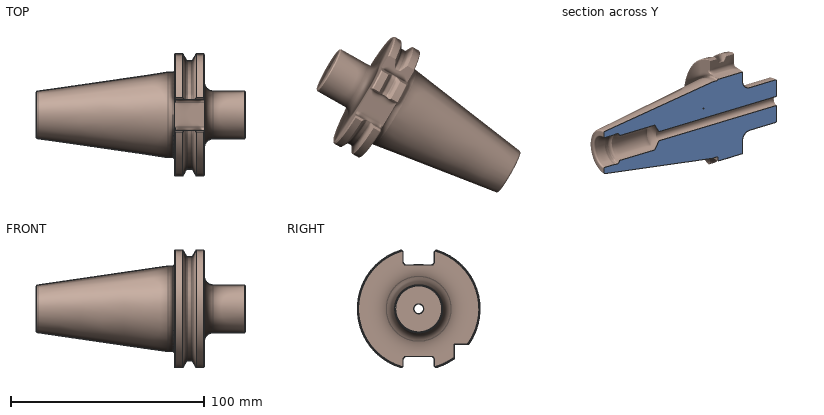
import cadquery as cq
import math

TOTAL_LENGTH = 108.2
TAPER_LENGTH = 68.2
FLANGE_START = 71.5
FLANGE_WIDTH = 15.6
FLANGE_END = FLANGE_START + FLANGE_WIDTH

GAUGE_RADIUS = 22.2
TAPER_RADIUS_RATE = 7 / 24 / 2
SMALL_END_RADIUS = GAUGE_RADIUS - TAPER_RADIUS_RATE * TAPER_LENGTH
SMALL_END_ROUND = 1.0
COLLAR_FILLET = 0.8

FLANGE_DIAMETER = 63.5
FLANGE_RADIUS = FLANGE_DIAMETER / 2
FLANGE_FRONT_CHAMFER = 0.4
FLANGE_BACK_CHAMFER = 0.6
GROOVE_CENTER = 79.3
GROOVE_FLOOR_RADIUS = 28.1
GROOVE_MOUTH_WIDTH = 7.1
GROOVE_FLANK_ANGLE = 30.0
GROOVE_ROUND = 0.8

NOSE_RADIUS = 12.5
NOSE_FILLET = 4.3
NOSE_CHAMFER = 0.5

SLOT_WIDTH = 16.0
SLOT_TOP_FLOOR = 22.7
SLOT_BOTTOM_FLOOR = 24.7
SLOT_ROUND = 1.6
SLOT_EDGE_CHAMFER = 1.0
SLOT_FACE_BEVEL_DEPTH = 0.6

NOTCH_OFFSET = 18.4

BORE_RADIUS = 8.4
BORE_DEPTH = 9.2
BORE_ENTRY_ROUND = 0.9

RELIEF_START = 6.6
RELIEF_DEPTH = 0.2
RELIEF_FRONT_LENGTH = 1.0
RELIEF_BACK_LENGTH = 0.4

TAP_RADIUS = 7.0
TAP_DEPTH = 31.9
BORE_CONE_ANGLE = 30.0
COOLANT_RADIUS = 2.5


def revolve_about_x(outline):
    """Solid turned from a closed-off half outline of X and radius."""
    return outline.close().revolve(360, (0, 0, 0), (1, 0, 0))


def make_body():
    outline = (
        cq.Workplane("XZ")
        .moveTo(0, 0)
        .lineTo(0, SMALL_END_RADIUS)
        .lineTo(TAPER_LENGTH, GAUGE_RADIUS)
        .lineTo(FLANGE_START - COLLAR_FILLET, GAUGE_RADIUS)
        .radiusArc((FLANGE_START, GAUGE_RADIUS + COLLAR_FILLET), -COLLAR_FILLET)
        .lineTo(FLANGE_START, FLANGE_RADIUS - FLANGE_FRONT_CHAMFER)
        .lineTo(FLANGE_START + FLANGE_FRONT_CHAMFER, FLANGE_RADIUS)
        .lineTo(FLANGE_END - FLANGE_BACK_CHAMFER, FLANGE_RADIUS)
        .lineTo(FLANGE_END, FLANGE_RADIUS - FLANGE_BACK_CHAMFER)
        .lineTo(FLANGE_END, NOSE_RADIUS + NOSE_FILLET)
        .radiusArc((FLANGE_END + NOSE_FILLET, NOSE_RADIUS), -NOSE_FILLET)
        .lineTo(TOTAL_LENGTH - NOSE_CHAMFER, NOSE_RADIUS)
        .lineTo(TOTAL_LENGTH, NOSE_RADIUS - NOSE_CHAMFER)
        .lineTo(TOTAL_LENGTH, 0)
    )
    return revolve_about_x(outline).faces("<X").edges().fillet(SMALL_END_ROUND)


def make_groove():
    depth = FLANGE_RADIUS - GROOVE_FLOOR_RADIUS
    half_mouth = GROOVE_MOUTH_WIDTH / 2
    half_floor = half_mouth - depth * math.tan(math.radians(GROOVE_FLANK_ANGLE))
    ring = revolve_about_x(
        cq.Workplane("XZ")
        .moveTo(GROOVE_CENTER - half_mouth, FLANGE_RADIUS)
        .lineTo(GROOVE_CENTER - half_floor, GROOVE_FLOOR_RADIUS)
        .lineTo(GROOVE_CENTER + half_floor, GROOVE_FLOOR_RADIUS)
        .lineTo(GROOVE_CENTER + half_mouth, FLANGE_RADIUS)
    )
    smallest_circles = cq.selectors.RadiusNthSelector(0)
    return ring.edges("%CIRCLE").edges(smallest_circles).fillet(GROOVE_ROUND)


def slot_outline(x, half_width, floor):
    """Wire of a round-cornered slot at the given X, open past the flange rim."""
    bend = SLOT_ROUND * (1 - math.sqrt(0.5))
    return (
        cq.Workplane("YZ", origin=(x, 0, 0))
        .moveTo(-half_width, FLANGE_RADIUS)
        .lineTo(-half_width, floor + SLOT_ROUND)
        .threePointArc((-half_width + bend, floor + bend), (-half_width + SLOT_ROUND, floor))
        .lineTo(half_width - SLOT_ROUND, floor)
        .threePointArc((half_width - bend, floor + bend), (half_width, floor + SLOT_ROUND))
        .lineTo(half_width, FLANGE_RADIUS)
        .close()
    )


def make_slot(floor):
    """Slot at +Z with bevelled edges on the taper-side flange face and along the rim."""
    half_width = SLOT_WIDTH / 2
    mouth_half_width = half_width + SLOT_EDGE_CHAMFER
    channel = slot_outline(FLANGE_START, half_width, floor).extrude(FLANGE_WIDTH)
    face_bevel = cq.Solid.makeLoft(
        [
            slot_outline(FLANGE_START, mouth_half_width, floor).val(),
            slot_outline(FLANGE_START + SLOT_FACE_BEVEL_DEPTH, half_width, floor).val(),
        ],
        True,
    )
    rim_corner = math.sqrt(FLANGE_RADIUS**2 - mouth_half_width**2)
    rim_bevel = (
        cq.Workplane("YZ", origin=(FLANGE_START, 0, 0))
        .moveTo(-half_width, rim_corner - SLOT_EDGE_CHAMFER)
        .lineTo(half_width, rim_corner - SLOT_EDGE_CHAMFER)
        .lineTo(mouth_half_width, rim_corner)
        .lineTo(mouth_half_width, FLANGE_RADIUS)
        .lineTo(-mouth_half_width, FLANGE_RADIUS)
        .lineTo(-mouth_half_width, rim_corner)
        .close()
        .extrude(FLANGE_WIDTH)
    )
    return channel.union(cq.Workplane(face_bevel)).union(rim_bevel)


def make_notch():
    """Square notch through the flange at its +Y, -Z corner."""
    return cq.Workplane("XY").box(
        FLANGE_WIDTH, FLANGE_RADIUS, FLANGE_RADIUS, centered=False
    ).translate((FLANGE_START, NOTCH_OFFSET, -NOTCH_OFFSET - FLANGE_RADIUS))


def make_bore():
    cone_rate = math.tan(math.radians(BORE_CONE_ANGLE))
    step_length = (BORE_RADIUS - TAP_RADIUS) * cone_rate
    tip_length = (TAP_RADIUS - COOLANT_RADIUS) * cone_rate
    return revolve_about_x(
        cq.Workplane("XZ")
        .moveTo(0, 0)
        .lineTo(0, BORE_RADIUS + BORE_ENTRY_ROUND)
        .radiusArc((BORE_ENTRY_ROUND, BORE_RADIUS), -BORE_ENTRY_ROUND)
        .lineTo(RELIEF_START, BORE_RADIUS)
        .lineTo(RELIEF_START + RELIEF_FRONT_LENGTH, BORE_RADIUS + RELIEF_DEPTH)
        .lineTo(BORE_DEPTH - RELIEF_BACK_LENGTH, BORE_RADIUS + RELIEF_DEPTH)
        .lineTo(BORE_DEPTH, BORE_RADIUS)
        .lineTo(BORE_DEPTH + step_length, TAP_RADIUS)
        .lineTo(TAP_DEPTH, TAP_RADIUS)
        .lineTo(TAP_DEPTH + tip_length, COOLANT_RADIUS)
        .lineTo(TOTAL_LENGTH, COOLANT_RADIUS)
        .lineTo(TOTAL_LENGTH, 0)
    )


top_slot = make_slot(SLOT_TOP_FLOOR)
bottom_slot = make_slot(SLOT_BOTTOM_FLOOR).rotate((0, 0, 0), (1, 0, 0), 180)

result = make_body()
for cutter in (make_groove(), top_slot, bottom_slot, make_notch(), make_bore()):
    result = result.cut(cutter)